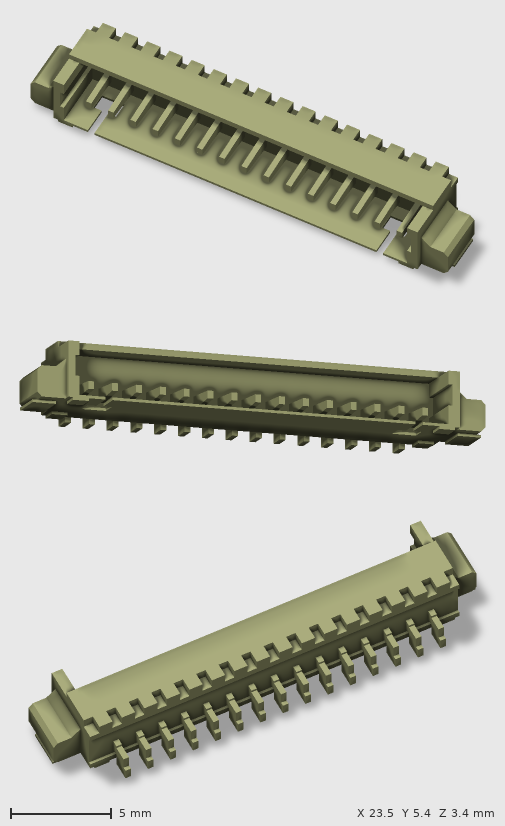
import cadquery as cq

contact_count = 15
contact_row_span = 17.5
contact_pitch = contact_row_span / (contact_count - 1)
contact_width = 0.3
contact_tip_y = 0.9
contact_tip_bottom, contact_tip_top = 0.92, 1.32
contact_bottom, contact_top = 0.78, 1.48
tail_inner_y = 4.42
tail_shoulder_y, tail_shoulder_top = 5.2, 1.35
tail_end_y, tail_toe_top = 5.4, 0.63

housing_width = 20.52
housing_depth = 4.2
housing_bottom, housing_top = 0.2, 3.4
roof_bottom = 3.08
roof_front_y = 1.62
cavity_width = 19.35
cavity_back_y = 3.0
floor_top = 0.35

groove_depth = 0.2
groove_bottom, groove_top = 1.32, 2.37

recess_depth = 0.15
recess_bottom, recess_top = 0.55, 2.51

notch_width = 0.52
notch_length = 0.7
notch_depth = 0.55

slit_width = 0.38
slit_center_x = (contact_count / 2 - 1) * contact_pitch
opening_width = contact_pitch
opening_front_y, opening_back_y = 1.43, 2.3

standoff_inner_x, standoff_outer_x = 9.2, 10.0
standoff_bottom = 0.07
standoff_length = 0.96

overall_width = 23.5
ear_front_y, ear_back_y = 0.4, 3.15
ear_top = 1.8
ear_chamfer = 0.24
ear_gusset_x, ear_gusset_top = 10.76, 2.23
tab_inner_x = 10.53
tab_front_y, tab_back_y = 1.1, 3.03


def box(x0, x1, y0, y1, z0, z1):
    """Box spanning the given limits along each axis."""
    return cq.Workplane("XY").box(x1 - x0, y1 - y0, z1 - z0, centered=False).translate((x0, y0, z0))


def centered_box(width, y0, y1, z0, z1, center_x=0.0):
    """Box of the given width centred on center_x."""
    return box(center_x - width / 2, center_x + width / 2, y0, y1, z0, z1)


def row_positions(count):
    """X positions of a centred row at the contact pitch."""
    return [(i - (count - 1) / 2) * contact_pitch for i in range(count)]


def make_shell():
    """Housing block with its open-fronted cavity, roof step and back recess."""
    shell = centered_box(housing_width, 0, housing_depth, housing_bottom, housing_top)
    shell = shell.cut(centered_box(housing_width, 0, roof_front_y, roof_bottom, housing_top))
    shell = shell.cut(centered_box(cavity_width, 0, cavity_back_y, floor_top, roof_bottom))
    groove_span = cavity_width + 2 * groove_depth
    shell = shell.cut(centered_box(groove_span, 0, cavity_back_y, groove_bottom, groove_top))
    recess_y = housing_depth - recess_depth
    return shell.cut(centered_box(housing_width, recess_y, housing_depth, recess_bottom, recess_top))


def cut_notches(shell):
    """Row of notches along the top back edge; the end ones break out at the corners."""
    notch_y = housing_depth - notch_length
    notch_z = housing_top - notch_depth
    for x in row_positions(contact_count + 2):
        shell = shell.cut(centered_box(notch_width, notch_y, housing_depth, notch_z, housing_top, x))
    return shell


def cut_floor_openings(shell):
    """T-shaped opening through the cavity floor near each end."""
    for x in (-slit_center_x, slit_center_x):
        shell = shell.cut(centered_box(slit_width, 0, opening_front_y, housing_bottom, floor_top, x))
        shell = shell.cut(
            centered_box(opening_width, opening_front_y, opening_back_y, housing_bottom, floor_top, x)
        )
    return shell


def make_contact(x):
    """Contact with a tapered blade in the cavity and a stepped tail behind the housing."""
    outline = [
        (contact_tip_y, contact_tip_bottom),
        (cavity_back_y, contact_bottom),
        (tail_inner_y, contact_bottom),
        (tail_inner_y, 0),
        (tail_end_y, 0),
        (tail_end_y, tail_toe_top),
        (tail_shoulder_y, tail_toe_top),
        (tail_shoulder_y, tail_shoulder_top),
        (tail_inner_y, tail_shoulder_top),
        (tail_inner_y, contact_top),
        (cavity_back_y, contact_top),
        (contact_tip_y, contact_tip_top),
    ]
    blade = cq.Workplane("YZ").polyline(outline).close().extrude(contact_width)
    return blade.translate((x - contact_width / 2, 0, 0))


def make_right_side():
    """Ear, solder tab and standoff feet at the +X end."""
    wall_x = housing_width / 2
    outer_x = overall_width / 2
    outline = [
        (wall_x, housing_bottom),
        (outer_x - ear_chamfer, housing_bottom),
        (outer_x, housing_bottom + ear_chamfer),
        (outer_x, ear_top - ear_chamfer),
        (outer_x - ear_chamfer, ear_top),
        (ear_gusset_x, ear_top),
        (wall_x, ear_gusset_top),
    ]
    ear = cq.Workplane("XZ").polyline(outline).close().extrude(ear_front_y - ear_back_y)
    side = ear.translate((0, ear_front_y, 0))
    side = side.union(box(tab_inner_x, outer_x, tab_front_y, tab_back_y, standoff_bottom, housing_bottom))
    for y0 in (0, housing_depth - standoff_length):
        y1 = y0 + standoff_length
        side = side.union(box(standoff_inner_x, standoff_outer_x, y0, y1, standoff_bottom, housing_bottom))
    return side


right_side = make_right_side()
result = cut_floor_openings(cut_notches(make_shell()))
result = result.union(right_side).union(right_side.mirror("YZ"))
for contact_x in row_positions(contact_count):
    result = result.union(make_contact(contact_x))